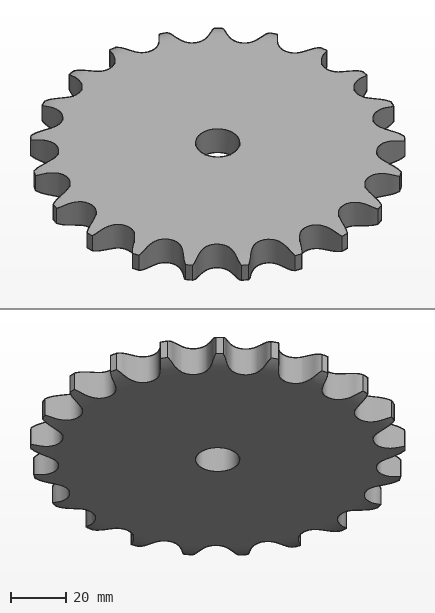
import cadquery as cq
import math

tooth_count = 21
pitch_diameter = 127.8
roller_diameter = 12.1
overall_width = 135.8
thickness = 11.1
bore_diameter = 16.0

side_radius = 19.0
side_relief = 2.0

pitch_radius = pitch_diameter / 2
half_pitch_angle = math.pi / tooth_count
seat_radius = 1.01 * roller_diameter / 2
seat_end_angle = math.radians(35 + 60 / tooth_count)
flank_sweep = math.radians(18 - 56 / tooth_count)
flank_center_offset = 0.8 * roller_diameter
flank_radius = seat_radius + flank_center_offset
flank_end_angle = flank_sweep - seat_end_angle
topping_center_offset = 1.4 * roller_diameter
topping_radius = (
    topping_center_offset * math.cos(flank_end_angle + half_pitch_angle)
    + flank_center_offset * math.cos(flank_sweep)
    - flank_radius
)
topping_end_angle = math.radians(50)


def polar_point(center, radius, angle):
    return (center[0] + radius * math.cos(angle), center[1] + radius * math.sin(angle))


def find_tip_radius():
    """Tip circle that puts the outermost tooth corners at half the overall width.

    With a tooth on -Y, the widest tooth and the gap next to it sit evenly about the X axis,
    each half a half-pitch away. The corner is where that gap's topping curve reaches the width.
    """
    gap_angle = half_pitch_angle / 2
    seat_center = polar_point((0, 0), pitch_radius, gap_angle)
    chord_angle = -math.pi / 2 - gap_angle
    topping_center = polar_point(seat_center, topping_center_offset, chord_angle)
    corner_x = overall_width / 2
    corner_rise = math.sqrt(topping_radius**2 - (corner_x - topping_center[0]) ** 2)
    return math.hypot(corner_x, topping_center[1] + corner_rise)


def make_blank(tip_radius):
    """Disc whose rim narrows on both sides along arcs tangent to the flat faces."""
    half_thickness = thickness / 2
    half_tip = half_thickness - side_relief
    relief_angle = math.acos(1 - side_relief / side_radius)
    flat_radius = tip_radius - side_radius * math.sin(relief_angle)
    arc_center = (flat_radius, half_thickness - side_radius)
    mid_x, mid_z = polar_point(arc_center, side_radius, (math.pi - relief_angle) / 2)
    return (
        cq.Workplane("XZ")
        .moveTo(0, -half_thickness)
        .lineTo(flat_radius, -half_thickness)
        .threePointArc((mid_x, -mid_z), (tip_radius, -half_tip))
        .lineTo(tip_radius, half_tip)
        .threePointArc((mid_x, mid_z), (flat_radius, half_thickness))
        .lineTo(0, half_thickness)
        .close()
        .revolve(360, (0, 0, 0), (0, 1, 0))
    )


def make_gap_cutter():
    """Tooth gap centred on +Y: roller seat, concave flanks, short straights, convex tips."""
    seat_center = (0, pitch_radius)
    seat_end = polar_point(seat_center, seat_radius, -seat_end_angle)

    flank_center = polar_point(seat_center, flank_center_offset, math.pi - seat_end_angle)
    flank_mid = polar_point(flank_center, flank_radius, flank_sweep / 2 - seat_end_angle)
    flank_end = polar_point(flank_center, flank_radius, flank_end_angle)

    topping_center = polar_point(seat_center, topping_center_offset, -half_pitch_angle)
    topping_start = polar_point(topping_center, topping_radius, math.pi + flank_end_angle)
    topping_mid_angle = math.pi + (flank_end_angle - topping_end_angle) / 2
    topping_mid = polar_point(topping_center, topping_radius, topping_mid_angle)
    topping_end = polar_point(topping_center, topping_radius, math.pi - topping_end_angle)

    def mirrored(point):
        return (-point[0], point[1])

    return (
        cq.Workplane("XY")
        .moveTo(*mirrored(seat_end))
        .threePointArc((0, pitch_radius - seat_radius), seat_end)
        .threePointArc(flank_mid, flank_end)
        .lineTo(*topping_start)
        .threePointArc(topping_mid, topping_end)
        .lineTo(*mirrored(topping_end))
        .threePointArc(mirrored(topping_mid), mirrored(topping_start))
        .lineTo(*mirrored(flank_end))
        .threePointArc(mirrored(flank_mid), mirrored(seat_end))
        .close()
        .extrude(thickness, both=True)
    )


result = make_blank(find_tip_radius())

gap_cutter = make_gap_cutter()
for index in range(tooth_count):
    gap_angle = index * 360 / tooth_count
    result = result.cut(gap_cutter.rotate((0, 0, 0), (0, 0, 1), gap_angle))

result = result.cut(cq.Workplane("XY").circle(bore_diameter / 2).extrude(thickness, both=True))